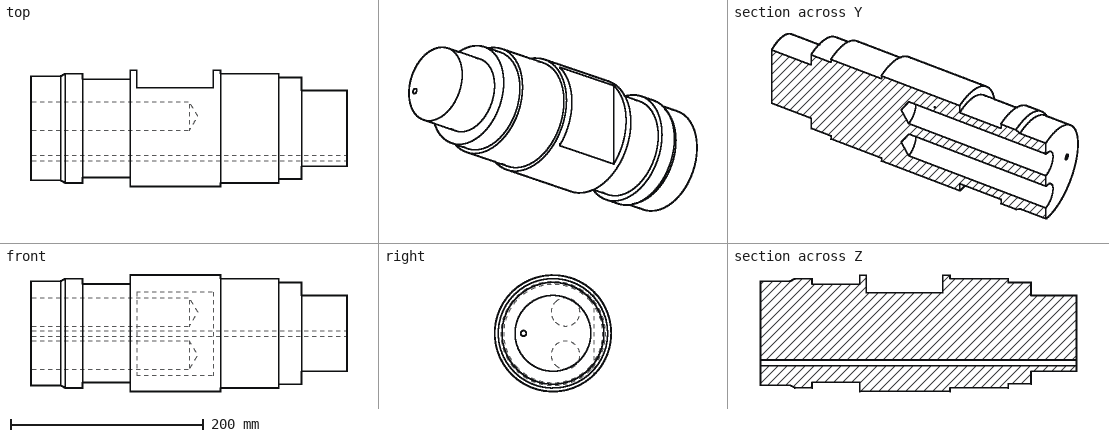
import cadquery as cq
import math

length = 328.0
head_end = 31.0
taper_end = 35.8
collar_end = 53.8
neck_end = 103.0
body_end = 197.0
shoulder_end = 257.3
step_end = 281.0

body_radius = 121.0 / 2
head_radius = 54.0
collar_radius = 56.8
neck_radius = 51.2
shoulder_radius = collar_radius
step_radius = 52.8
spigot_radius = 39.5

flat_start = 110.0
flat_end = 189.0
flat_height = 42.3

bore_diameter = 29.5
bore_depth = 164.0
bore_y = 12.8
bore_spacing = 44.5
drill_tip_angle = 118.0

passage_diameter = 5.5
passage_y = -30.5


def make_shaft():
    """Revolve the stepped half profile about the X axis."""
    sections = [
        (0, head_end, head_radius, head_radius),
        (head_end, taper_end, head_radius, collar_radius),
        (taper_end, collar_end, collar_radius, collar_radius),
        (collar_end, neck_end, neck_radius, neck_radius),
        (neck_end, body_end, body_radius, body_radius),
        (body_end, shoulder_end, shoulder_radius, shoulder_radius),
        (shoulder_end, step_end, step_radius, step_radius),
        (step_end, length, spigot_radius, spigot_radius),
    ]
    profile = cq.Workplane("XY").moveTo(0, 0)
    previous_point = (0, 0)
    for start, end, start_radius, end_radius in sections:
        if (start, start_radius) != previous_point:
            profile = profile.lineTo(start, start_radius)
        profile = profile.lineTo(end, end_radius)
        previous_point = (end, end_radius)
    return profile.lineTo(length, 0).close().revolve(360, (0, 0, 0), (1, 0, 0))


def make_flat_cutter():
    """Block that removes the body above the flat."""
    return cq.Workplane("XY").box(
        flat_end - flat_start, body_radius, 2 * body_radius, centered=(False, False, True)
    ).translate((flat_start, flat_height, 0))


def make_bore(z):
    """Cylinder with a conical drill tip, centred at height z."""
    radius = bore_diameter / 2
    tip_length = radius / math.tan(math.radians(drill_tip_angle / 2))
    return (
        cq.Workplane("XY")
        .polyline([(0, 0), (0, radius), (bore_depth, radius), (bore_depth + tip_length, 0)])
        .close()
        .revolve(360, (0, 0, 0), (1, 0, 0))
        .translate((0, bore_y, z))
    )


def make_passage():
    return cq.Workplane("YZ").center(passage_y, 0).circle(passage_diameter / 2).extrude(length)


result = make_shaft().cut(make_flat_cutter())
for side in (-1, 1):
    result = result.cut(make_bore(side * bore_spacing / 2))
result = result.cut(make_passage())